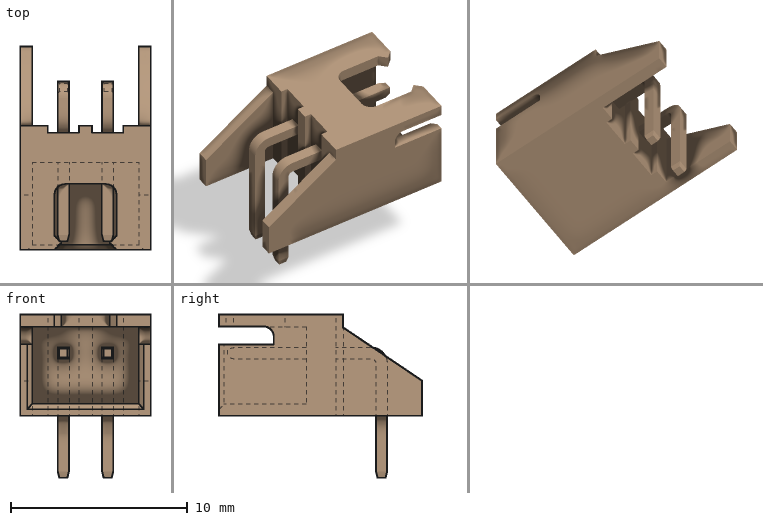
import cadquery as cq


width = 7.4
length = 11.5
height = 5.74
wall = 0.69
block_length = 7.03
wing_front_height = 5.0
wing_rear_height = 1.99

cavity_depth = 4.95
side_bevel = 0.29
floor_bevel = 0.32
bevel_depth = 0.29

side_slot_depth = 3.1
side_slot_bottom = 4.04
side_slot_radius = 0.58

window_width = 3.52
window_back = 3.73
window_radius = 0.62
lip_size = 0.4

notch_inner = 0.38
notch_outer = 2.13
notch_depth = 0.4

pin_pitch = 2.51
pin_side = 0.64
pin_axis_height = 3.55
pin_front = 0.48
pin_rear = 9.52
pin_bottom = -3.51
bend_radius = 0.93
tip_length = 0.37
tip_side = 0.46

cavity_width = width - 2 * wall
roof_bottom = height - wall


def box(x0, x1, y0, y1, z0, z1):
    """Box between two opposite corners."""
    return cq.Workplane("XY").box(x1 - x0, y1 - y0, z1 - z0, centered=False).translate((x0, y0, z0))


def make_shell():
    """Extruded side profile, with the space between the rear wings removed."""
    profile = [
        (0, 0),
        (length, 0),
        (length, wing_rear_height),
        (block_length, wing_front_height),
        (block_length, height),
        (0, height),
    ]
    body = cq.Workplane("YZ").polyline(profile).close().extrude(width / 2, both=True)
    wing_gap = box(-cavity_width / 2, cavity_width / 2, block_length, length, 0, height)
    return body.cut(wing_gap)


def make_cavity():
    """Rectangular cavity plus the tapered mouth, which leaves the roof flat."""
    half = cavity_width / 2
    cavity = box(-half, half, 0, cavity_depth, wall, roof_bottom)
    mouth_half = half + side_bevel
    mouth_floor = wall - floor_bevel
    mouth = (
        cq.Workplane("XZ")
        .polyline([
            (-mouth_half, mouth_floor),
            (mouth_half, mouth_floor),
            (mouth_half, roof_bottom),
            (-mouth_half, roof_bottom),
        ])
        .close()
        .workplane(offset=-bevel_depth)
        .polyline([(-half, wall), (half, wall), (half, roof_bottom), (-half, roof_bottom)])
        .close()
        .loft(ruled=True)
    )
    return cavity.union(mouth)


def make_side_slots():
    """Slot across both side walls, open at the front and rounded at its upper rear corner."""
    slot = box(-width / 2, width / 2, 0, side_slot_depth, side_slot_bottom, roof_bottom)
    return slot.edges("|X and >Y and >Z").fillet(side_slot_radius)


def make_window():
    """Roof cutout, open to the front, with rounded rear corners and V-shaped lips at the throat."""
    half = window_width / 2
    throat_half = half - lip_size
    outline = [
        (half, 0),
        (throat_half, lip_size),
        (half, 2 * lip_size),
        (half, window_back),
        (-half, window_back),
        (-half, 2 * lip_size),
        (-throat_half, lip_size),
        (-half, 0),
    ]
    window = cq.Workplane("XY").workplane(offset=roof_bottom).polyline(outline).close().extrude(wall)
    return window.edges("|Z and >Y").fillet(window_radius)


def make_notches():
    """Full-height notches in the rear face of the block."""
    left = box(-notch_outer, -notch_inner, block_length - notch_depth, block_length, 0, height)
    return left.union(left.mirror("YZ"))


def make_tip(plane):
    """Tapered pin end growing along the normal of the given plane."""
    return (
        cq.Workplane(plane)
        .rect(pin_side, pin_side)
        .workplane(offset=tip_length)
        .rect(tip_side, tip_side)
        .loft(ruled=True)
    )


def make_pin(x):
    """Right-angle pin with a rounded bend and two tapered tips."""
    half = pin_side / 2
    leg_y = pin_rear - half
    shank_front = pin_front + tip_length
    shank_bottom = pin_bottom + tip_length
    pin_top = pin_axis_height + half
    shank = (
        cq.Workplane("YZ")
        .polyline([
            (shank_front, pin_top),
            (pin_rear, pin_top),
            (pin_rear, shank_bottom),
            (pin_rear - pin_side, shank_bottom),
            (pin_rear - pin_side, pin_top - pin_side),
            (shank_front, pin_top - pin_side),
        ])
        .close()
        .extrude(half, both=True)
    )
    shank = shank.edges("|X and >Y and >Z").fillet(bend_radius)
    inner_bend = cq.selectors.NearestToPointSelector((0, pin_rear - pin_side, pin_top - pin_side))
    shank = shank.edges("|X").edges(inner_bend).fillet(bend_radius - pin_side)
    front_tip = make_tip(cq.Plane((0, shank_front, pin_axis_height), (1, 0, 0), (0, -1, 0)))
    bottom_tip = make_tip(cq.Plane((0, leg_y, shank_bottom), (1, 0, 0), (0, 0, -1)))
    return shank.union(front_tip).union(bottom_tip).translate((x, 0, 0))


result = make_shell()
for cutter in (make_cavity(), make_side_slots(), make_window(), make_notches()):
    result = result.cut(cutter)
for side in (-1, 1):
    result = result.union(make_pin(side * pin_pitch / 2))